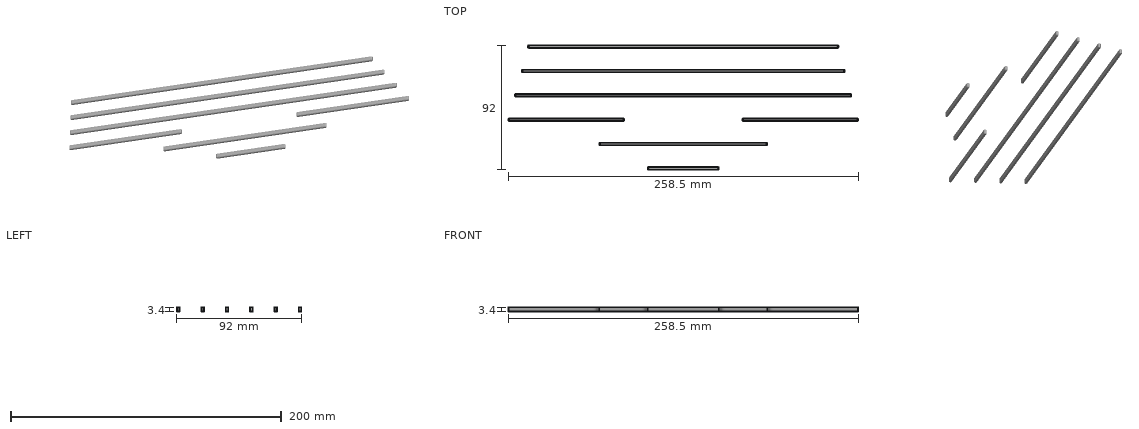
import cadquery as cq

BAR_WIDTH = 2.0
BAR_HEIGHT = 3.4
FOOT_CHAMFER = 0.4

ROW_COUNT = 6
LAYOUT_DEPTH = 92.0
ROW_PITCH = (LAYOUT_DEPTH - BAR_WIDTH) / (ROW_COUNT - 1)

FULL_BAR_LENGTHS = {0: 52.7, 1: 124.0, 3: 248.7, 4: 239.0, 5: 229.5}

SPLIT_ROW = 2
SPLIT_ROW_LENGTH = 258.5
HALF_BAR_LENGTH = 85.5
HALF_BAR_CENTRE_X = (SPLIT_ROW_LENGTH - HALF_BAR_LENGTH) / 2


def bar(length, centre_x, row):
    """Upright bar with half-round ends and a bevel around its bottom outline."""
    outline = cq.Workplane("XY").slot2D(length, BAR_WIDTH)
    solid = outline.extrude(BAR_HEIGHT).faces("<Z").edges().chamfer(FOOT_CHAMFER)
    return solid.translate((centre_x, row * ROW_PITCH, 0))


full_bars = [bar(length, 0, row).val() for row, length in FULL_BAR_LENGTHS.items()]
half_bars = [bar(HALF_BAR_LENGTH, side * HALF_BAR_CENTRE_X, SPLIT_ROW).val() for side in (-1, 1)]

result = cq.Compound.makeCompound([*full_bars, *half_bars])